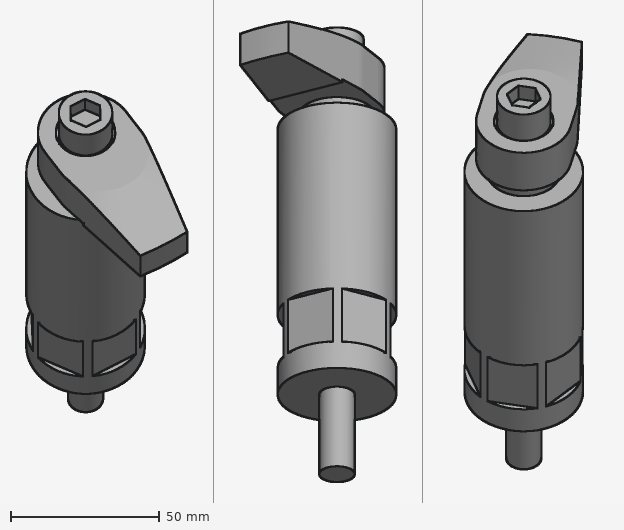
import cadquery as cq
import math

housing_bottom = 30.0
flats_bottom = 40.0
flats_top = 60.0
housing_top = 130.0
lever_bottom = 136.0
lever_top = 153.0
screw_top = 164.0

housing_diameter = 40.0
neck_diameter = 25.0
across_flats = 36.0
flat_count = 6

shank_diameter = 12.0
head_diameter = 18.0
head_height = 12.0
socket_across_flats = 10.0
socket_depth = 6.0
head_seat = screw_top - head_height

hub_radius = 16.0
hub_length = 10.0
head_recess_diameter = 20.0
lever_reach = 50.0
tip_bulge = 0.5
side_taper = 10.0
tip_drop = 6.0
handle_underside_drop = 1.0
underside_step_x = 21.3


def cylinder(diameter, bottom, top):
    return cq.Workplane("XY").workplane(offset=bottom).circle(diameter / 2).extrude(top - bottom)


def hexagon_prism(flat_distance, bottom, top):
    """Hexagonal prism with two flats facing +X and -X."""
    corner_diameter = flat_distance / math.cos(math.pi / flat_count)
    prism = cq.Workplane("XY").workplane(offset=bottom).polygon(flat_count, corner_diameter)
    return prism.extrude(top - bottom).rotate((0, 0, 0), (0, 0, 1), 180 / flat_count)


def make_housing():
    """Sleeve with a neck, six wrench flats and a bore for the screw."""
    lower_collar = cylinder(housing_diameter, housing_bottom, flats_bottom)
    wrench_section = cylinder(housing_diameter, flats_bottom, flats_top)
    wrench_section = wrench_section.intersect(hexagon_prism(across_flats, flats_bottom, flats_top))
    barrel = cylinder(housing_diameter, flats_top, housing_top)
    neck = cylinder(neck_diameter, housing_top, lever_bottom)
    bore = cylinder(shank_diameter, housing_bottom, lever_bottom)
    return lower_collar.union(wrench_section).union(barrel).union(neck).cut(bore)


def lever_blank():
    """Rounded hub running tangentially into a tapered handle with a bowed tip."""
    taper = math.radians(side_taper)
    taper_x = hub_length + hub_radius * math.sin(taper)
    taper_y = hub_radius * math.cos(taper)
    blend_x = hub_length + hub_radius * math.sin(taper / 2)
    blend_y = hub_radius * math.cos(taper / 2)
    corner_x = lever_reach - tip_bulge
    corner_y = taper_y - (corner_x - taper_x) * math.tan(taper)
    blank_bottom = lever_bottom - handle_underside_drop
    return (
        cq.Workplane("XY")
        .workplane(offset=blank_bottom)
        .moveTo(0, hub_radius)
        .lineTo(hub_length, hub_radius)
        .threePointArc((blend_x, blend_y), (taper_x, taper_y))
        .lineTo(corner_x, corner_y)
        .threePointArc((lever_reach, 0), (corner_x, -corner_y))
        .lineTo(taper_x, -taper_y)
        .threePointArc((blend_x, -blend_y), (hub_length, -hub_radius))
        .lineTo(0, -hub_radius)
        .threePointArc((-hub_radius, 0), (0, hub_radius))
        .close()
        .extrude(lever_top - blank_bottom)
    )


def handle_slope_cutter():
    """Ring whose conical underside slopes the handle top away from the hub."""
    slope = tip_drop / (lever_reach - hub_length - hub_radius)
    outer_radius = lever_reach + hub_radius
    outer_drop = slope * (outer_radius - hub_radius)
    ring = (
        cq.Workplane("XZ")
        .moveTo(hub_radius, lever_top)
        .lineTo(outer_radius, lever_top)
        .lineTo(outer_radius, lever_top - outer_drop)
        .close()
        .revolve(360, (0, 0, 0), (0, 1, 0))
        .translate((hub_length, 0, 0))
    )
    handle_side = cq.Workplane("XY").box(
        lever_reach, 2 * outer_radius, 2 * lever_top, centered=(False, True, False)
    )
    return ring.intersect(handle_side.translate((hub_length, 0, 0)))


def make_lever():
    hub_relief = cq.Workplane("XY").box(
        underside_step_x + 2 * hub_radius, 4 * hub_radius, lever_bottom, centered=(False, True, False)
    ).translate((-2 * hub_radius, 0, 0))
    bore = cylinder(shank_diameter, lever_bottom, lever_top)
    head_recess = cylinder(head_recess_diameter, head_seat, lever_top)
    return lever_blank().cut(hub_relief).cut(handle_slope_cutter()).cut(bore).cut(head_recess)


def make_cap_screw():
    shank = cylinder(shank_diameter, 0, head_seat)
    head = cylinder(head_diameter, head_seat, screw_top)
    socket = hexagon_prism(socket_across_flats, screw_top - socket_depth, screw_top)
    return shank.union(head).cut(socket)


housing = make_housing()
lever = make_lever()
cap_screw = make_cap_screw()

result = cq.Compound.makeCompound([housing.solids().val(), lever.solids().val(), cap_screw.solids().val()])